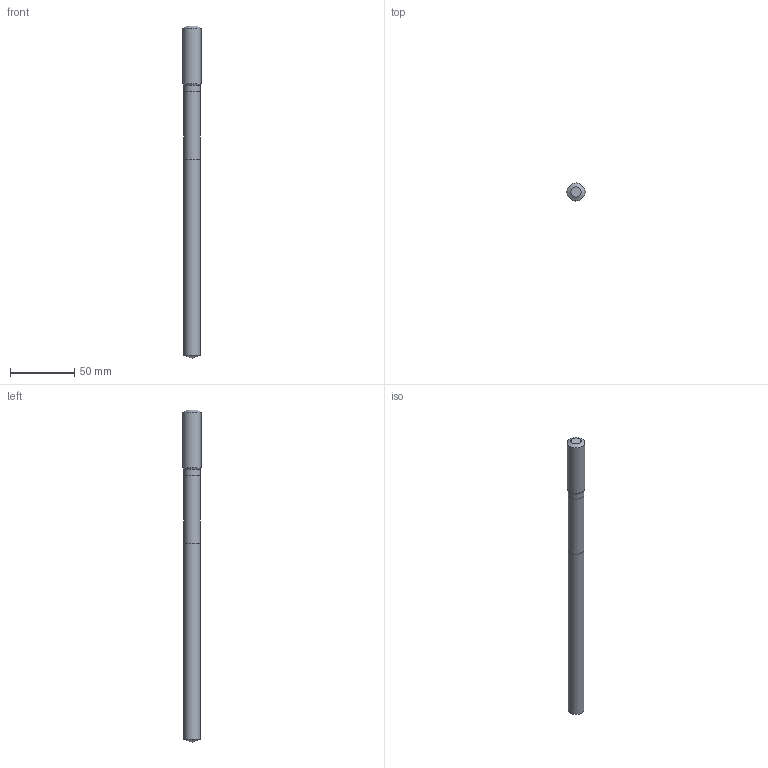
import cadquery as cq
import math

overall_length = 258.0

drill_diameter = 12.44
point_angle = 144.0
front_length = 154.5
drill_length = 207.0

collar_diameter = drill_diameter
shank_diameter = 14.0
shank_length = 45.0
shank_top_diameter = 8.0
top_chamfer_angle = 30.0
bottom_chamfer_angle = 57.0

drill_radius = drill_diameter / 2
collar_radius = collar_diameter / 2
shank_radius = shank_diameter / 2
shank_top_radius = shank_top_diameter / 2

point_height = drill_radius / math.tan(math.radians(point_angle / 2))
top_chamfer_height = (shank_radius - shank_top_radius) * math.tan(math.radians(top_chamfer_angle))
bottom_chamfer_height = (shank_radius - collar_radius) * math.tan(math.radians(bottom_chamfer_angle))
shank_bottom = overall_length - shank_length


def revolve_profile(points):
    """Turn a closed (radius, height) outline into a solid about the Z axis."""
    return cq.Workplane("XZ").polyline(points).close().revolve(360, (0, 0, 0), (0, 1, 0))


def make_drill():
    """Pointed front stretch and plain rear stretch in one solid, keeping the circle where they meet."""
    front = revolve_profile([
        (0, 0),
        (drill_radius, point_height),
        (drill_radius, front_length),
        (0, front_length),
    ])
    rear_base = cq.Workplane("XY", origin=(0, 0, front_length))
    rear = rear_base.circle(drill_radius).extrude(drill_length - front_length)
    return front.union(rear, clean=False).solids()


def make_shank():
    """Short collar and cylindrical shank, chamfered at both ends."""
    return revolve_profile([
        (0, drill_length),
        (collar_radius, drill_length),
        (collar_radius, shank_bottom - bottom_chamfer_height),
        (shank_radius, shank_bottom),
        (shank_radius, overall_length - top_chamfer_height),
        (shank_top_radius, overall_length),
        (0, overall_length),
    ])


drill = make_drill()
shank = make_shank()

result = cq.Compound.makeCompound([drill.val(), shank.val()])